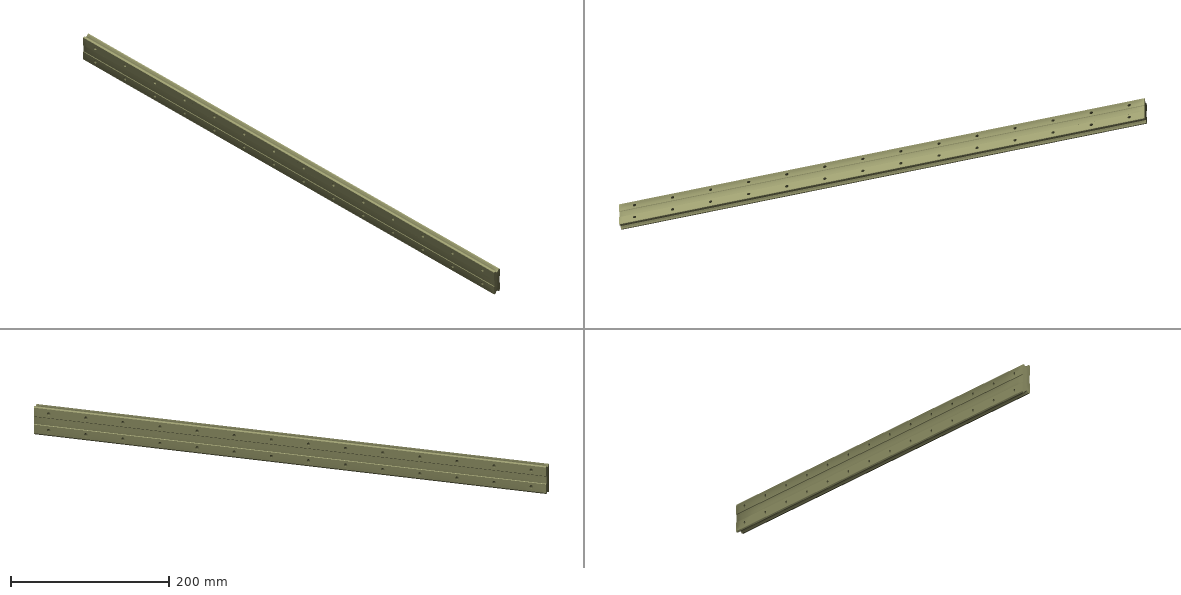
import cadquery as cq
import math

length = 690.0
thickness = 11.0
height = 37.0
half_thickness = thickness / 2
half_height = height / 2

relief_floor_height = 10.0
relief_depth = 0.6

front_bevel = 0.5
back_bevel_width = 1.0
back_bevel_height = 1.6

groove_depth = 3.0
groove_front_lip_y = -3.0
groove_front_floor_y = -1.5
groove_back_lip_y = 3.3

raceway_radius = 3.7
raceway_width = 1.45
raceway_center_depth = 1.3

hole_count = 14
end_margin = 20.0
hole_diameter = 4.35
row_spacing = 22.0
hole_pitch = (length - 2 * end_margin) / (hole_count - 1)


def back_wall_point(depth, sink=0.0):
    """Point on the groove's 45-degree back wall, `depth` below the edge and `sink` into the material."""
    step = sink * math.sqrt(0.5)
    return (groove_back_lip_y - depth + step, half_height - depth - step)


def make_upper_half():
    """Upper half of the bar, from its mid-plane to the top edge."""
    relief_half = relief_floor_height / 2
    raceway_half_rise = raceway_width / 2 * math.sqrt(0.5)
    raceway_sink = raceway_radius - math.sqrt(raceway_radius**2 - (raceway_width / 2) ** 2)
    groove_floor_z = half_height - groove_depth
    return (
        cq.Workplane("YZ", origin=(-length / 2, 0, 0))
        .moveTo(-half_thickness + relief_depth, 0)
        .lineTo(-half_thickness + relief_depth, relief_half)
        .lineTo(-half_thickness, relief_half + relief_depth)
        .lineTo(-half_thickness, half_height - front_bevel)
        .lineTo(-half_thickness + front_bevel, half_height)
        .lineTo(groove_front_lip_y, half_height)
        .lineTo(groove_front_floor_y, groove_floor_z)
        .lineTo(*back_wall_point(groove_depth))
        .lineTo(*back_wall_point(raceway_center_depth + raceway_half_rise))
        .threePointArc(
            back_wall_point(raceway_center_depth, raceway_sink),
            back_wall_point(raceway_center_depth - raceway_half_rise),
        )
        .lineTo(*back_wall_point(0))
        .lineTo(half_thickness - back_bevel_width, half_height)
        .lineTo(half_thickness, half_height - back_bevel_height)
        .lineTo(half_thickness, relief_half + relief_depth)
        .lineTo(half_thickness - relief_depth, relief_half)
        .lineTo(half_thickness - relief_depth, 0)
        .close()
        .extrude(length)
    )


def make_bar():
    upper_half = make_upper_half()
    return upper_half.union(upper_half.mirror("XY")).clean()


def make_holes():
    return (
        cq.Workplane("XZ")
        .rarray(hole_pitch, row_spacing, hole_count, 2)
        .circle(hole_diameter / 2)
        .extrude(half_thickness, both=True)
    )


result = make_bar().cut(make_holes())